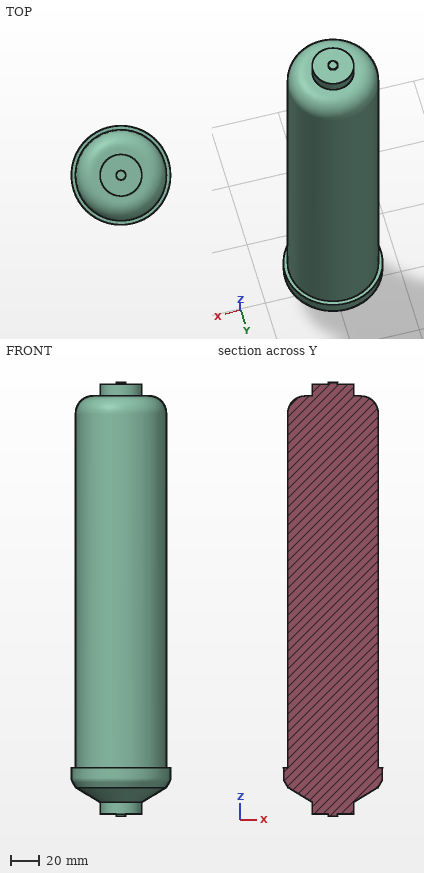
import cadquery as cq
import math

total_height = 309.0
bottom_nub_height = 1.5
top_nub_height = 1.2
neck_height = 8.3
cone_height = 10.5
bevel_height = 4.0
round_height = 2.8
collar_top = 34.5

nub_radius = 3.5
neck_radius = 14.8
body_radius = 32.5
collar_radius = 70.7 / 2
shoulder_round = 12.7
collar_round = 5.3

neck_bottom = bottom_nub_height
cone_bottom = neck_bottom + neck_height
cone_top = cone_bottom + cone_height
bevel_top = cone_top + bevel_height
round_top = bevel_top + round_height
top_neck_end = total_height - top_nub_height
shoulder_top = top_neck_end - neck_height


def cylinder(radius, bottom, top):
    """Cylinder on the Z axis between two heights."""
    return cq.Workplane("XY").workplane(offset=bottom).circle(radius).extrude(top - bottom)


def end_cap():
    """Conical cap with a bevel that blends through a tangent round into the collar wall."""
    bevel_angle = math.asin((round_top - bevel_top) / collar_round)
    round_center_radius = collar_radius - collar_round
    bevel_top_radius = round_center_radius + collar_round * math.cos(bevel_angle)
    bevel_inset = (bevel_top - cone_top) * math.tan(bevel_angle)
    round_middle = (
        round_center_radius + collar_round * math.cos(bevel_angle / 2),
        round_top - collar_round * math.sin(bevel_angle / 2),
    )
    return (
        cq.Workplane("XZ")
        .moveTo(0, cone_bottom)
        .lineTo(neck_radius, cone_bottom)
        .lineTo(bevel_top_radius - bevel_inset, cone_top)
        .lineTo(bevel_top_radius, bevel_top)
        .threePointArc(round_middle, (collar_radius, round_top))
        .lineTo(collar_radius, collar_top)
        .lineTo(0, collar_top)
        .close()
        .revolve(360, (0, 0, 0), (0, 1, 0))
    )


housing = cylinder(body_radius, collar_top, shoulder_top).faces(">Z").edges().fillet(shoulder_round)

bottom_nub = cylinder(nub_radius, 0, neck_bottom)
bottom_neck = cylinder(neck_radius, neck_bottom, cone_bottom)
top_neck = cylinder(neck_radius, shoulder_top, top_neck_end)
top_nub = cylinder(nub_radius, top_neck_end, total_height)

result = end_cap()
for section in (housing, bottom_neck, bottom_nub, top_neck, top_nub):
    result = result.union(section)

result = result.translate((0, 0, -total_height / 2))